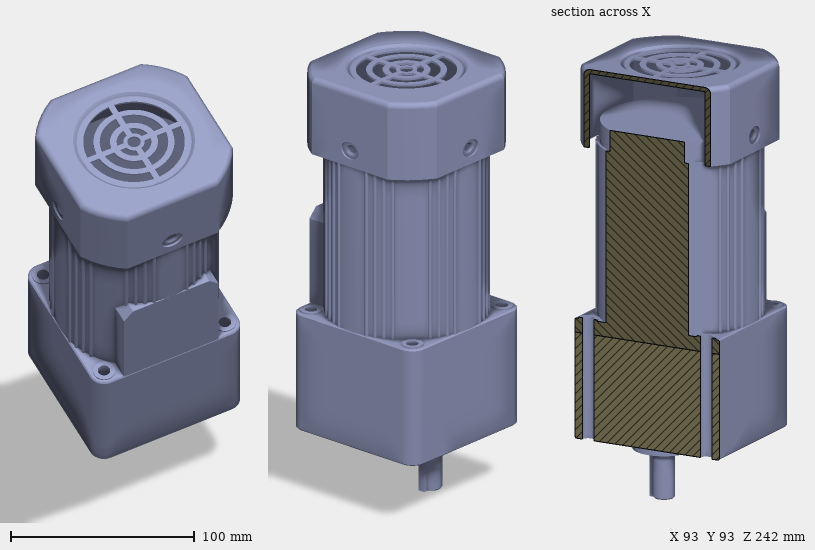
import cadquery as cq

gearbox_bottom = 32.0
flange_bottom = 92.2
flange_top = 100.2
cover_bottom = 197.5
end_bell_top = 209.3
cover_top = 242.0

frame_width = 90.0
frame_corner_radius = 8.2
frame_edge_chamfer = 0.7
mount_hole_offset = 36.8
mount_hole_radius = 3.5
shaft_x = -18.0
shaft_radius = 6.0
shaft_chamfer = 0.7
boss_radius = 17.2
boss_height = 3.9
key_width = 4.0
key_reach = 8.0
key_top = 25.5

motor_radius = frame_width / 2
rib_radius = 1.1
ribs_per_group = 4
first_rib_angle = 12.8
rib_pitch_angle = 6.4
end_bell_radius = 43.5
pad_radius = 6.0
pad_height = 0.7
terminal_box_reach = frame_width / 2
terminal_box_width = 57.5
terminal_box_top = 155.1
terminal_box_chamfer = 5.5

cover_width = 93.0
cover_corner_radius = 54.0
cover_wall = 2.7
cover_edge_fillet = 3.1
dish_top_radius = 33.2
dish_bottom_radius = 31.5
dish_depth = 1.5
grille_rings = [(5.8, 9.5), (13.0, 18.6), (22.0, 27.5)]
grille_hole_radius = 3.6
spoke_width = 3.5
screw_z = 207.0
recess_width = 12.5
recess_height = 10.0
recess_depth = 1.2
socket_width = 7.3
socket_height = 5.8
socket_depth = 1.2
socket_taper = 45

quarter_turns = [0, 90, 180, 270]


def square_frame(bottom, top):
    """Square block with rounded upright corners."""
    return (
        cq.Workplane("XY", origin=(0, 0, bottom))
        .rect(frame_width, frame_width)
        .extrude(top - bottom)
        .edges("|Z")
        .fillet(frame_corner_radius)
    )


def corner_cylinders(radius, bottom, top):
    """One upright cylinder on each mounting hole axis."""
    return (
        cq.Workplane("XY", origin=(0, 0, bottom))
        .rect(2 * mount_hole_offset, 2 * mount_hole_offset, forConstruction=True)
        .vertices()
        .circle(radius)
        .extrude(top - bottom)
    )


def cover_block(inset, bottom, top):
    """Square block whose corners are cut by a cylinder, all sides moved in by the inset."""
    width = cover_width - 2 * inset
    block = cq.Workplane("XY", origin=(0, 0, bottom)).rect(width, width).extrude(top - bottom)
    corner_cutter = (
        cq.Workplane("XY", origin=(0, 0, bottom)).circle(cover_corner_radius - inset).extrude(top - bottom)
    )
    return block.intersect(corner_cutter)


def make_shaft():
    shaft = (
        cq.Workplane("XY", origin=(shaft_x, 0, 0))
        .circle(shaft_radius)
        .extrude(gearbox_bottom)
        .faces("<Z")
        .chamfer(shaft_chamfer)
    )
    key = (
        cq.Workplane("XY", origin=(shaft_x, 0, 0))
        .rect(key_width, key_reach, centered=(True, False))
        .extrude(key_top)
    )
    return shaft.union(key)


def make_gearbox():
    case = square_frame(gearbox_bottom, flange_bottom).faces("<Z").chamfer(frame_edge_chamfer)
    boss = (
        cq.Workplane("XY", origin=(shaft_x, 0, gearbox_bottom - boss_height))
        .circle(boss_radius)
        .extrude(boss_height)
    )
    holes = corner_cylinders(mount_hole_radius, gearbox_bottom, flange_bottom)
    return case.union(boss).union(make_shaft()).cut(holes)


def make_flange():
    plate = square_frame(flange_bottom, flange_top).faces(">Z").chamfer(frame_edge_chamfer)
    pads = corner_cylinders(pad_radius, flange_bottom, flange_top + pad_height)
    return plate.union(pads)


def rib_angles():
    """Angles of all ribs: one group on each side of every X and Y direction."""
    angles = []
    for turn in quarter_turns:
        for index in range(ribs_per_group):
            offset = first_rib_angle + index * rib_pitch_angle
            angles += [turn + offset, turn - offset]
    return angles


def make_stator():
    """Cylinder with half-round ribs along its length."""
    length = cover_bottom - flange_top
    stator = cq.Workplane("XY", origin=(0, 0, flange_top)).circle(motor_radius).extrude(length)
    rib = cq.Workplane("XY", origin=(motor_radius, 0, flange_top)).circle(rib_radius).extrude(length)
    for angle in rib_angles():
        stator = stator.union(rib.rotate((0, 0, 0), (0, 0, 1), angle))
    return stator


def make_terminal_box():
    return (
        cq.Workplane("XY", origin=(0, 0, flange_top))
        .rect(terminal_box_reach, terminal_box_width, centered=(False, True))
        .extrude(terminal_box_top - flange_top)
        .faces(">Z")
        .edges("|X")
        .chamfer(terminal_box_chamfer)
    )


def make_motor():
    motor = make_flange().union(make_stator()).union(make_terminal_box())
    end_bell = (
        cq.Workplane("XY", origin=(0, 0, cover_bottom))
        .circle(end_bell_radius)
        .extrude(end_bell_top - cover_bottom)
    )
    motor = motor.union(end_bell)
    return motor.cut(corner_cylinders(mount_hole_radius, flange_bottom, flange_top + pad_height))


def make_dish():
    """Shallow cone sunk into the top of the cover."""
    return (
        cq.Workplane("XY", origin=(0, 0, cover_top - dish_depth))
        .circle(dish_bottom_radius)
        .workplane(offset=dish_depth)
        .circle(dish_top_radius)
        .loft(ruled=True)
    )


def make_grille_cutter():
    """Ring slots interrupted by a cross of spokes, with a hole in the middle."""
    base = cq.Workplane("XY", origin=(0, 0, cover_top - cover_wall))
    spokes = base.rect(cover_width, spoke_width).extrude(cover_wall)
    spokes = spokes.union(base.rect(spoke_width, cover_width).extrude(cover_wall))
    cutter = base.circle(grille_hole_radius).extrude(cover_wall)
    for inner_radius, outer_radius in grille_rings:
        ring = base.circle(outer_radius).circle(inner_radius).extrude(cover_wall)
        cutter = cutter.union(ring.cut(spokes))
    return cutter


def make_screw_recess():
    """Oval recess with a tapered oval socket, sunk into the -Y side."""
    outer_face = cq.Workplane("XZ", origin=(0, -cover_width / 2, screw_z))
    recess = outer_face.ellipse(recess_width / 2, recess_height / 2).extrude(-recess_depth)
    recess_floor = cq.Workplane("XZ", origin=(0, -cover_width / 2 + recess_depth, screw_z))
    socket = recess_floor.ellipse(socket_width / 2, socket_height / 2).extrude(
        -socket_depth, taper=socket_taper
    )
    return recess.union(socket)


def make_fan_cover():
    cover = cover_block(0, cover_bottom, cover_top).faces(">Z").edges().fillet(cover_edge_fillet)
    cover = cover.cut(cover_block(cover_wall, cover_bottom, cover_top - cover_wall))
    cover = cover.cut(make_dish()).cut(make_grille_cutter())
    screw_recess = make_screw_recess()
    for turn in quarter_turns:
        cover = cover.cut(screw_recess.rotate((0, 0, 0), (0, 0, 1), turn))
    return cover


gearbox = make_gearbox()
motor = make_motor()
fan_cover = make_fan_cover()

result = cq.Compound.makeCompound([gearbox.val(), motor.val(), fan_cover.val()])